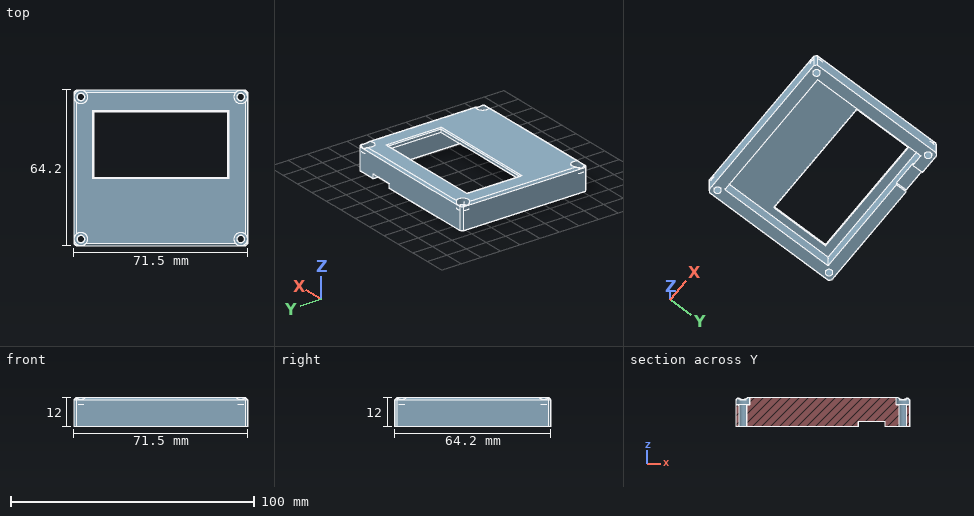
import cadquery as cq

length = 71.5
width = 64.2
height = 12.0
corner_chamfer = 1.0
rim_chamfer = 1.0

cover_thickness = 2.0
end_wall = 5.0
side_wall = 5.1
cavity_length = length - 2 * end_wall
cavity_width = width - 2 * side_wall

window_length = 55.0
window_width = 27.0
window_chamfer = 0.5
window_back_margin = 9.0
window_y = width / 2 - window_back_margin - window_width / 2

screw_diameter = 3.0
head_diameter = 5.5
head_depth = 3.0
screw_inset = 2.9

notch_length = 10.8
notch_height = 2.1
notch_to_cavity_end = 5.3
notch_x = cavity_length / 2 - notch_to_cavity_end - notch_length / 2


def make_body():
    """Block with chamfered vertical corners and a chamfered top rim."""
    block = cq.Workplane("XY").box(length, width, height, centered=(True, True, False))
    block = block.edges("|Z").chamfer(corner_chamfer)
    return block.faces(">Z").edges().chamfer(rim_chamfer)


def make_cavity():
    depth = height - cover_thickness
    return cq.Workplane("XY").box(cavity_length, cavity_width, depth, centered=(True, True, False))


def make_window():
    """Rectangular opening through the cover, flared at the top face."""
    opening = (
        cq.Workplane("XY")
        .center(0, window_y)
        .box(window_length, window_width, height, centered=(True, True, False))
    )
    flare = (
        cq.Workplane("XY", origin=(0, window_y, height - window_chamfer))
        .rect(window_length, window_width)
        .workplane(offset=window_chamfer)
        .rect(window_length + 2 * window_chamfer, window_width + 2 * window_chamfer)
        .loft(ruled=True)
    )
    return opening.union(flare)


def make_notch():
    return (
        cq.Workplane("XY")
        .center(notch_x, (width - side_wall) / 2)
        .box(notch_length, side_wall, notch_height, centered=(True, True, False))
    )


def drill_screw_holes(part):
    return (
        part.faces(">Z")
        .workplane(origin=(0, 0, height))
        .rect(length - 2 * screw_inset, width - 2 * screw_inset, forConstruction=True)
        .vertices()
        .cboreHole(screw_diameter, head_diameter, head_depth)
    )


result = make_body().cut(make_cavity()).cut(make_window()).cut(make_notch())
result = drill_screw_holes(result)